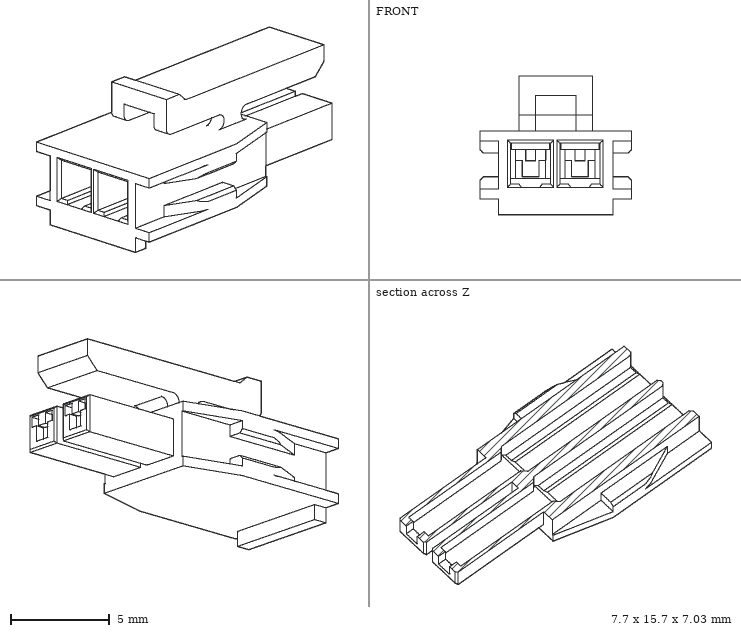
import cadquery as cq
import math


total_length = 15.7
total_height = 7.03
flange_width = 7.7

block_width = 5.81
block_length = 9.86
block_bottom = 0.8
block_top = 4.25
flange_thickness = 0.52
flange_straight_length = 6.6
flange_rear_width = 5.93
lip_length = 0.78

ear_height = 0.61
ear_chamfer = 0.19
ear_flat_start = 4.43
ear_bend = 4.0
ear_bend_inset = 0.1
ear_tip = 2.15

contact_pitch = 2.5
contact_offset = -0.024
prong_gap = 0.47
prong_span = 4.49
prong_bottom = 1.5
prong_top = 3.49
prong_end_chamfer = 0.11

mouth_chamfer = 0.15
socket_width = 2.03
socket_bottom = 1.55
socket_top = 3.63
socket_depth = 8.79
roof_step_setback = 0.05
channel_floor_width = 0.94
channel_top_width = 1.16
bore_width = 1.5
bore_bottom = 1.84
bore_top = 3.3
end_wall = 0.47
window_width = 0.83
window_bottom = 1.93
window_shoulder = 2.76
key_width = 0.52
key_bottom = 2.73

latch_width = 3.74
latch_front = 3.49
latch_rear = 15.4
latch_bottom = 5.05
latch_top = 6.61
hook_flat_end = 4.47
hook_ramp_end = 4.95
latch_front_radius = 0.38
latch_rear_chamfer = 0.66
neck_front = 7.85
neck_rear = 9.14
latch_slot_width = 2.03
latch_slot_top = 6.05


def box(x_center, width, y0, y1, z0, z1):
    """Block centred on x_center, spanning y0 to y1 and z0 to z1."""
    return cq.Workplane("XY").box(width, y1 - y0, z1 - z0, centered=(True, False, False)).translate(
        (x_center, y0, z0)
    )


def flange(bottom):
    """Plate wider than the block, tapering toward the rear."""
    half = flange_width / 2
    rear_half = flange_rear_width / 2
    outline = [
        (-half, 0),
        (half, 0),
        (half, flange_straight_length),
        (rear_half, block_length),
        (-rear_half, block_length),
        (-half, flange_straight_length),
    ]
    return cq.Workplane("XY").workplane(offset=bottom).polyline(outline).close().extrude(flange_thickness)


def upper_ears():
    """Pair of ears below the upper flange, with the lower outer edges chamfered."""
    half = flange_width / 2
    inner = block_width / 2
    ear_top = block_top - flange_thickness
    ear_bottom = ear_top - ear_height
    plan = [
        (-inner, flange_straight_length),
        (-half, flange_straight_length),
        (-half, ear_flat_start),
        (-half + ear_bend_inset, ear_bend),
        (-inner, ear_tip),
        (inner, ear_tip),
        (half - ear_bend_inset, ear_bend),
        (half, ear_flat_start),
        (half, flange_straight_length),
        (inner, flange_straight_length),
    ]
    section = [
        (-half, ear_top),
        (-half, ear_bottom + ear_chamfer),
        (-half + ear_chamfer, ear_bottom),
        (half - ear_chamfer, ear_bottom),
        (half, ear_bottom + ear_chamfer),
        (half, ear_top),
    ]
    plate = cq.Workplane("XY").workplane(offset=ear_bottom).polyline(plan).close().extrude(ear_height)
    bar = cq.Workplane("XZ").polyline(section).close().extrude(-flange_straight_length)
    return plate.intersect(bar)


def housing():
    """Block with flanges, ears and the lip under the mouth."""
    upper = upper_ears()
    mid_height = (block_bottom + block_top) / 2
    lower = upper.mirror("XY", (0, 0, mid_height))
    return (
        box(0, block_width, 0, block_length, block_bottom, block_top)
        .union(flange(block_bottom))
        .union(flange(block_top - flange_thickness))
        .union(upper)
        .union(lower)
        .union(box(0, block_width, 0, lip_length, 0, block_bottom))
    )


def prongs():
    """Rear tongue split into two prongs, each with a chamfered end."""
    tongue = box(0, prong_span, block_length, total_length, prong_bottom, prong_top)
    gap = box(contact_offset, prong_gap, block_length, total_length, prong_bottom, prong_top)
    return tongue.cut(gap).faces(">Y").chamfer(prong_end_chamfer)


def frustum(x_center, y0, width0, z0, y1, width1, z1):
    """Pocket between two upright rectangles; z0 and z1 are (bottom, top) pairs."""
    return (
        cq.Workplane("XZ", origin=(x_center, y0, 0))
        .center(0, sum(z0) / 2)
        .rect(width0, z0[1] - z0[0])
        .workplane(offset=y0 - y1)
        .center(0, (sum(z1) - sum(z0)) / 2)
        .rect(width1, z1[1] - z1[0])
        .loft(ruled=True)
    )


def cavity(x_center):
    """Contact cavity: chamfered mouth, socket with a floor channel, funnel, bore and keyed rear window."""
    bore_start = socket_depth + (socket_width - bore_width) / 2
    bore_end = total_length - end_wall
    channel_depth = mouth_chamfer
    channel_floor = socket_bottom - channel_depth

    mouth = frustum(
        x_center, 0, socket_width + 2 * mouth_chamfer, (channel_floor, socket_top + mouth_chamfer),
        mouth_chamfer, socket_width, (socket_bottom, socket_top),
    )

    ramp_start = socket_depth - (bore_bottom - socket_bottom)
    socket_profile = [
        (0, socket_bottom),
        (ramp_start, socket_bottom),
        (socket_depth, bore_bottom),
        (socket_depth, socket_top),
        (0, socket_top),
    ]
    side_plane = cq.Workplane("YZ", origin=(x_center, 0, 0))
    socket = side_plane.polyline(socket_profile).close().extrude(socket_width / 2, both=True)

    channel_section = [
        (-channel_floor_width / 2, channel_floor),
        (channel_floor_width / 2, channel_floor),
        (channel_top_width / 2, socket_bottom),
        (-channel_top_width / 2, socket_bottom),
    ]
    front_plane = cq.Workplane("XZ", origin=(x_center, 0, 0))
    channel_bar = front_plane.polyline(channel_section).close().extrude(-ramp_start)
    ramp_profile = [
        (ramp_start - channel_depth, channel_floor),
        (ramp_start, channel_floor),
        (ramp_start, socket_bottom),
    ]
    channel_ramp = side_plane.polyline(ramp_profile).close().extrude(channel_top_width / 2, both=True)
    channel = channel_bar.cut(channel_ramp)

    funnel_z = (bore_bottom, socket_top)
    roof_step = socket_depth + roof_step_setback
    funnel = frustum(x_center, socket_depth, socket_width, funnel_z, bore_start, bore_width, funnel_z)
    funnel = funnel.cut(box(x_center, socket_width, roof_step, bore_start, bore_top, socket_top))

    bore = box(x_center, bore_width, bore_start, bore_end, bore_bottom, bore_top)
    window = (
        box(x_center, window_width, bore_end, total_length, window_bottom, bore_top)
        .union(box(x_center, bore_width, bore_end, total_length, window_shoulder, bore_top))
        .cut(box(x_center, key_width, bore_end, total_length, key_bottom, bore_top))
    )
    return mouth.union(socket).union(channel).union(funnel).union(bore).union(window)


def latch():
    """Front-hooked lever on a foot necked by half-round hollows, slotted underneath from the front."""
    neck_radius = (latch_bottom - block_top) / 2
    neck_center_z = latch_bottom - neck_radius
    front_center = neck_front - neck_radius
    rear_center = neck_rear + neck_radius
    corner_mid = latch_front_radius * (1 - math.sqrt(0.5))
    lever = (
        cq.Workplane("YZ")
        .moveTo(latch_front, latch_bottom + latch_front_radius)
        .lineTo(latch_front, total_height)
        .lineTo(hook_flat_end, total_height)
        .lineTo(hook_ramp_end, latch_top)
        .lineTo(latch_rear, latch_top)
        .lineTo(latch_rear, latch_bottom + latch_rear_chamfer)
        .lineTo(latch_rear - latch_rear_chamfer, latch_bottom)
        .lineTo(rear_center, latch_bottom)
        .threePointArc((neck_rear, neck_center_z), (rear_center, block_top))
        .lineTo(front_center, block_top)
        .threePointArc((neck_front, neck_center_z), (front_center, latch_bottom))
        .lineTo(latch_front + latch_front_radius, latch_bottom)
        .threePointArc(
            (latch_front + corner_mid, latch_bottom + corner_mid),
            (latch_front, latch_bottom + latch_front_radius),
        )
        .close()
        .extrude(latch_width / 2, both=True)
    )
    return lever.cut(box(0, latch_slot_width, latch_front, rear_center, block_top, latch_slot_top))


result = housing().union(latch()).union(prongs())
for side in (-1, 1):
    result = result.cut(cavity(contact_offset + side * contact_pitch / 2))